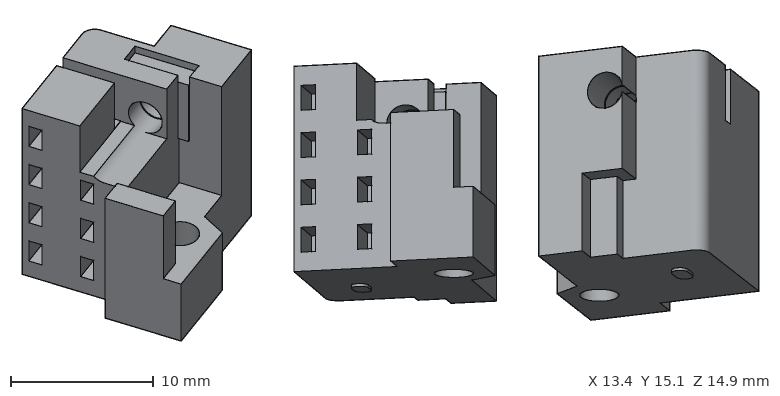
import cadquery as cq

LENGTH_Y = 15.07
WIDTH_X = 13.4
TOTAL_HEIGHT = 14.92
PAD_HEIGHT = 0.2
BODY_TOP = TOTAL_HEIGHT - PAD_HEIGHT

BODY_WIDTH = 8.12
BODY_FRONT = 1.91
BODY_BACK = 12.42
CORNER_RADIUS = 1.0

BORE_X = 6.45
BORE_Z = 11.63
BORE_DIAMETER = 2.64
NUT_HOLE_DIAMETER = 2.5
NUT_SIZE = 5.0
NUT_FRONT = 10.15
NUT_THICKNESS = 1.66

TOWER_WIDTH = 4.52
SLOT_WIDTH = 1.0
WALL_FRONT = 8.4
SLOT_FLOOR_Z = 10.67
SHELF_Z = 10.62
LOW_SHELF_Z = BORE_Z - BORE_DIAMETER / 2

REAR_LEFT = 5.15
REAR_RIGHT = 11.45
REAR_FRONT = 10.35
NOTCH_HEIGHT = 5.73
NOTCH_STEP_Y = 13.49
NOTCH_SHALLOW = 1.0
NOTCH_DEEP = 3.01

PLATE_TOP = 5.06
PLATE_CHAMFER_FRONT = 6.54
PLATE_CHAMFER_BACK = 7.65
SLAB_LEFT = 7.45
SLAB_RIGHT = 12.0
SLAB_TOP = 10.64
MOUNT_HOLE_DIAMETER = 2.75
MOUNT_HOLE_X = 10.76
MOUNT_HOLE_Y = 5.14

WINDOW_WIDTH = 1.02
WINDOW_HEIGHT = 1.78
WINDOW_DEPTH = 3.01
WINDOW_PITCH = 3.39
WINDOW_BOTTOM = 1.37
WINDOW_COLUMNS = [(0.53, 4), (4.58, 3)]

PAD_WIDTH = 1.2
PAD_LENGTH = 2.06
PAD_X = 3.4
PAD_Y = 7.99


def block(x0, x1, y0, y1, z0, z1):
    """Box between two opposite corners."""
    return cq.Workplane("XY").box(x1 - x0, y1 - y0, z1 - z0, centered=False).translate((x0, y0, z0))


def bore(diameter, y0, y1):
    """Cylinder on the cross bore axis."""
    axis = cq.Workplane("XZ", origin=(BORE_X, y0, BORE_Z))
    return axis.circle(diameter / 2).extrude(y0 - y1)


def main_body():
    """Body with a rounded rear corner and the open area in front of its upright wall."""
    body = block(0, BODY_WIDTH, BODY_FRONT, BODY_BACK, 0, BODY_TOP)
    body = body.edges("|Z and <X and >Y").fillet(CORNER_RADIUS)
    slot = block(0, TOWER_WIDTH, WALL_FRONT - SLOT_WIDTH, WALL_FRONT, SLOT_FLOOR_Z, BODY_TOP)
    shelf = block(TOWER_WIDTH, BODY_WIDTH, BODY_FRONT, WALL_FRONT, SHELF_Z, BODY_TOP)
    low_shelf = block(BORE_X, BODY_WIDTH, BODY_FRONT, WALL_FRONT, LOW_SHELF_Z, BODY_TOP)
    return body.cut(slot).cut(shelf).cut(low_shelf)


def rear_block():
    """Full-height block behind the body, with a stepped notch low on its left side."""
    rear = block(REAR_LEFT, REAR_RIGHT, REAR_FRONT, LENGTH_Y, 0, BODY_TOP)
    shallow = block(REAR_LEFT, REAR_LEFT + NOTCH_SHALLOW, BODY_BACK, NOTCH_STEP_Y, 0, NOTCH_HEIGHT)
    deep = block(REAR_LEFT, REAR_LEFT + NOTCH_DEEP, NOTCH_STEP_Y, LENGTH_Y, 0, NOTCH_HEIGHT)
    return rear.cut(shallow).cut(deep)


def base_plate():
    """Low plate to the right of the body, joined to the rear block by a slanted edge."""
    outline = [
        (SLAB_LEFT, 0),
        (WIDTH_X, 0),
        (WIDTH_X, PLATE_CHAMFER_FRONT),
        (REAR_RIGHT, PLATE_CHAMFER_BACK),
        (REAR_RIGHT, REAR_FRONT),
        (SLAB_LEFT, REAR_FRONT),
    ]
    return cq.Workplane("XY").polyline(outline).close().extrude(PLATE_TOP)


def nut_block(top):
    """Block the width and thickness of the nut, from the nut's underside up to the given height."""
    half = NUT_SIZE / 2
    nut_back = NUT_FRONT + NUT_THICKNESS
    return block(BORE_X - half, BORE_X + half, NUT_FRONT, nut_back, BORE_Z - half, top)


def nut():
    """Square nut centred on the cross bore."""
    hole = bore(NUT_HOLE_DIAMETER, NUT_FRONT, NUT_FRONT + NUT_THICKNESS)
    return nut_block(BORE_Z + NUT_SIZE / 2).cut(hole)


def nut_pocket():
    """Pocket, open at the top, that holds the nut."""
    return nut_block(BODY_TOP)


def windows():
    """Blind rectangular windows in two columns."""
    cutters = cq.Workplane("XY")
    for left, count in WINDOW_COLUMNS:
        for row in range(count):
            bottom = WINDOW_BOTTOM + row * WINDOW_PITCH
            cutters = cutters.add(
                block(
                    left, left + WINDOW_WIDTH,
                    BODY_FRONT, BODY_FRONT + WINDOW_DEPTH,
                    bottom, bottom + WINDOW_HEIGHT,
                )
            )
    return cutters.combine()


def mount_hole():
    """Vertical through hole in the base plate."""
    centre = cq.Workplane("XY").center(MOUNT_HOLE_X, MOUNT_HOLE_Y)
    return centre.circle(MOUNT_HOLE_DIAMETER / 2).extrude(PLATE_TOP)


def bottom_pad():
    """Thin round-ended pad below the body."""
    pad = cq.Workplane("XY").center(PAD_X, PAD_Y).slot2D(PAD_LENGTH, PAD_WIDTH, 90)
    return pad.extrude(-PAD_HEIGHT)


front_slab = block(SLAB_LEFT, SLAB_RIGHT, 0, BODY_FRONT, 0, SLAB_TOP)

housing = main_body().union(rear_block()).union(base_plate()).union(front_slab)
housing = housing.cut(nut_pocket()).cut(windows()).cut(mount_hole())
housing = housing.cut(bore(BORE_DIAMETER, BODY_FRONT, LENGTH_Y))

result = housing.union(nut()).union(bottom_pad())